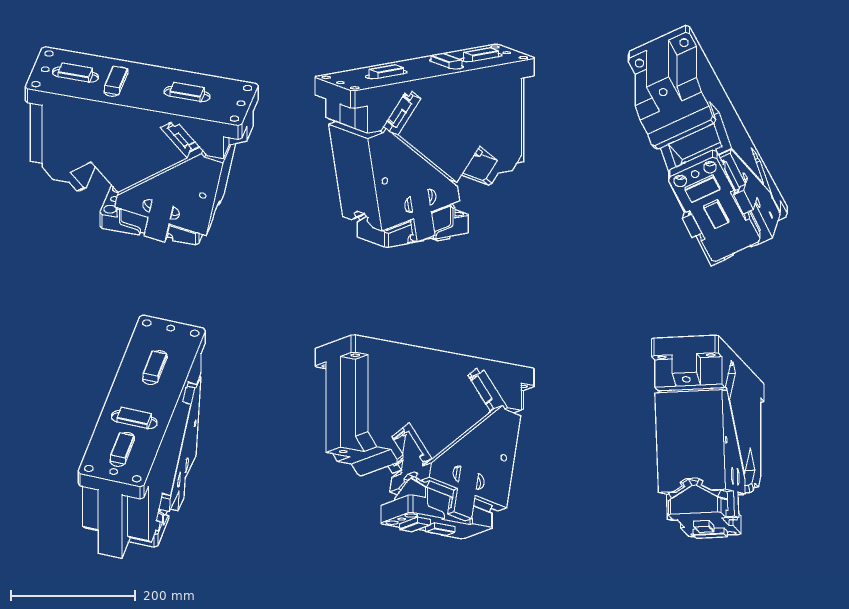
import cadquery as cq
import math


LENGTH = 360.0
WIDTH = 110.0
TOP_Z = 273.5
CORNER_CHAMFER = 5.0
HALF_WIDTH = WIDTH / 2

SLIDE_ANGLE = 40.0
SLIDE_X, SLIDE_Z = 155.0, 85.5
ROOF_ANGLE = -10.0
ROOF_X, ROOF_Z = 149.8, 59.8

KEY_LENGTH = 50.5
KEY_WIDTH = 25.2
KEY_HEIGHT = 9.7
KEY_CHAMFER = 1.0
KEYWAY_DEPTH = 5.0
KEYWAY_LENGTH = KEY_LENGTH + KEY_WIDTH
DRIVER_KEYS = [(70.0, 0), (137.5, 90), (255.2, 0)]
BASE_CROSS_KEY_X = 161.0
BASE_LONG_KEY_X = 210.2
BASE_LONG_KEY_LENGTH = 40.0

PLATE_THICKNESS = 29.0
STEP_LENGTH = 29.5
RIB_WIDTH = 40.0
DRIVER_BOTTOM_Z = 94.0
STEP_RAMP_TOP_Z = 116.5
STEP_RAMP_LENGTH = 17.5
RIGHT_LEG_Z = 199.5
RIGHT_LEG_END_Z = 214.0
BOLT_HOLE_DIAMETER = 13.5
DOWEL_DIAMETER = 12.2
BOLT_INSET = 15.0
BOLT_Y = 40.0
LEFT_DOWEL_X = 19.8
LUG_U0, LUG_U1 = -56.0, -41.0
LUG_END_V = 34.2
LUG_BASE_V = 58.5
NOTCH_TOP_V = 73.8
WALL_U = 4.0
SIDE_GAP = 4.5
POCKET_U = 154.0
POCKET_STEP_U = 176.8
END_WALL_U = 187.2
POCKET_STEP_V = 64.0

STEM_HALF = 30.0
HEAD_HALF = 40.5
HEAD_V = 15.0
RAIL_TOP_V = 60.5
RAIL_CHAMFER = 2.0
STEM_ROOT = 1.0
RAIL_END_U = 181.5
RELIEF_U = 163.5
RELIEF_V = 44.0
RELIEF_DEPTH = 7.2
RETAINER_HALF = 32.8
PAD_SLOPE = 1.5
RETAINER_START_U = -23.5
RETAINER_RAMP_LENGTH = 10.8
PAD_THICKNESS = 4.5

SLIDER_LENGTH = 154.8
SLIDER_HEIGHT = 160.0
LEG_A0, LEG_A1 = 56.5, 91.8
LEG_DROP = 40.5
LEG_INNER_Y = 44.5
HOOK_TOP_B = -30.5
HOOK_INNER_Y = 37.0
LEG_SLOT_LENGTH = 61.2
LEG_SLOT_WIDTH = 26.5
LEG_SLOT_B = 25.0
LEG_SLOT_DEPTH = 10.0
SIDE_HOLE_X, SIDE_HOLE_Z = 296.3, 115.2
SIDE_HOLE_DIAMETER = 10.5
SIDE_HOLE_DEPTH = 14.5

ROOF_SLOPE = 30.0
RIDGE_HALF = 3.2
EAVE_HALF = 43.2
EAVE_B = -13.5
WEAR_A0, WEAR_A1 = 9.5, 134.5
WEAR_OUTER_Y = 37.5
WEAR_THICKNESS = 12.0
END_CLEARANCE = 5.0
END_RELIEF_Y = 13.0

BASE_X0, BASE_X1 = 120.5, 285.5
PRISM_X = 151.0
FOOT_HEIGHT = 29.0
BASE_LEFT_CHAMFER = 5.5
BASE_RIGHT_CHAMFER = 4.5
FOOT_HOLE_X = 134.5
FOOT_HOLE_Y = 26.5
FOOT_BOLT_DIAMETER = 19.8
FOOT_DOWEL_DIAMETER = 12.0
SIDE_RECESS_Y = 36.5
RECESS_X0 = 155.0
RECESS_FLOOR_B = -42.5
RECESS_EXIT_X0, RECESS_EXIT_X1 = 188.0, 243.0
RECESS_SHOULDER_A = 57.0
RECESS_SHOULDER_B = -30.2
RECESS_CORNER = 5.0
RECESS_EXIT_FILLET = 7.2

OVERSHOOT = 36.0


def turned(x0, z0, degrees, point):
    """Point of a frame turned about Y, as an (X, Z) pair."""
    along, across = point
    c = math.cos(math.radians(degrees))
    s = math.sin(math.radians(degrees))
    return (x0 + along * c - across * s, z0 + along * s + across * c)


def slide(u, v):
    return turned(SLIDE_X, SLIDE_Z, SLIDE_ANGLE, (u, v))


def roof(a, b):
    return turned(ROOF_X, ROOF_Z, ROOF_ANGLE, (a, b))


def slab(points, y0, y1):
    """Extrude an (X, Z) outline from y0 to y1."""
    return cq.Workplane("XZ", origin=(0, y0, 0)).polyline(points).close().extrude(y0 - y1)


def centred(points, half_width):
    return slab(points, -half_width, half_width)


def both_sides(solid):
    return solid.union(solid.mirror("XZ"))


def frame_box(frame, low, high, y0, y1):
    """Block with sides along the axes of a turned frame."""
    corners = [(low[0], low[1]), (high[0], low[1]), (high[0], high[1]), (low[0], high[1])]
    return slab([frame(*corner) for corner in corners], y0, y1)


def mirrored_section(half_outline):
    """Close a section symmetric about its vertical axis from its right half."""
    return half_outline + [(-y, h) for y, h in reversed(half_outline)]


def along_roof(section, a0, a1):
    """Sweep a (Y, b) section along the roof from a0 to a1."""
    x, z = roof(a0, 0)
    c = math.cos(math.radians(ROOF_ANGLE))
    s = math.sin(math.radians(ROOF_ANGLE))
    plane = cq.Plane(origin=(x, 0, z), xDir=(0, 1, 0), normal=(c, 0, s))
    return cq.Workplane(plane).polyline(section).close().extrude(a1 - a0)


def along_slide(section, u0, u1):
    """Sweep a (Y, v) section along the slide from u0 to u1."""
    x, z = slide(u0, 0)
    c = math.cos(math.radians(SLIDE_ANGLE))
    s = math.sin(math.radians(SLIDE_ANGLE))
    plane = cq.Plane(origin=(x, 0, z), xDir=(0, 1, 0), normal=(c, 0, s))
    return cq.Workplane(plane).polyline(section).close().extrude(u1 - u0)


def roof_b(y, offset=0.0):
    """Height b of the roof slope at distance y from the middle, raised square to the slope."""
    slope = math.radians(ROOF_SLOPE)
    return EAVE_B + (EAVE_HALF - y) * math.tan(slope) + offset / math.cos(slope)


def off_slope(y, offset):
    """Point reached from the roof slope at y by going square to the slope, outwards and up."""
    slope = math.radians(ROOF_SLOPE)
    return (y + offset * math.sin(slope), roof_b(y) + offset * math.cos(slope))


def key(length):
    """Key with its foot a keyway depth below Z = 0 and its upper long edges chamfered."""
    block = cq.Workplane("XY", origin=(0, 0, -KEYWAY_DEPTH)).rect(length, KEY_WIDTH)
    block = block.extrude(KEYWAY_DEPTH + KEY_HEIGHT)
    return block.faces(">Z").edges("|X").chamfer(KEY_CHAMFER)


def driver_outline():
    return [
        (0, TOP_Z),
        (LENGTH, TOP_Z),
        (LENGTH, RIGHT_LEG_END_Z),
        (LENGTH - STEP_LENGTH, RIGHT_LEG_Z),
        slide(END_WALL_U, (RIGHT_LEG_Z - slide(END_WALL_U, 0)[1]) / math.cos(math.radians(SLIDE_ANGLE))),
        slide(END_WALL_U, POCKET_STEP_V),
        slide(POCKET_STEP_U, POCKET_STEP_V),
        slide(POCKET_STEP_U, NOTCH_TOP_V),
        slide(POCKET_U, NOTCH_TOP_V),
        slide(POCKET_U, SIDE_GAP),
        slide(WALL_U, SIDE_GAP),
        slide(WALL_U, NOTCH_TOP_V),
        slide(LUG_U1, NOTCH_TOP_V),
        slide(LUG_U1, LUG_END_V),
        slide(LUG_U0, LUG_END_V),
        slide(LUG_U0, LUG_BASE_V),
        (0, DRIVER_BOTTOM_Z),
    ]


def driver_side_steps():
    """Steps on both sides of the ribs, below each end of the plate."""
    plate_bottom = TOP_Z - PLATE_THICKNESS
    left = [
        (-OVERSHOOT, plate_bottom),
        (STEP_LENGTH, plate_bottom),
        (STEP_LENGTH, STEP_RAMP_TOP_Z),
        (STEP_LENGTH + STEP_RAMP_LENGTH, DRIVER_BOTTOM_Z),
        (-OVERSHOOT, DRIVER_BOTTOM_Z),
    ]
    right = [
        (LENGTH - STEP_LENGTH, plate_bottom),
        (LENGTH + OVERSHOOT, plate_bottom),
        (LENGTH + OVERSHOOT, RIGHT_LEG_Z),
        (LENGTH - STEP_LENGTH, RIGHT_LEG_Z),
    ]
    steps = slab(left, RIB_WIDTH / 2, HALF_WIDTH).union(slab(right, RIB_WIDTH / 2, HALF_WIDTH))
    return both_sides(steps)


def lug_corner_cuts():
    """Chamfers on the two side corners at the free end of the lug."""
    x, z = slide(LUG_U0, LUG_END_V)
    c = math.cos(math.radians(SLIDE_ANGLE))
    s = math.sin(math.radians(SLIDE_ANGLE))
    plane = cq.Plane(origin=(x, 0, z), xDir=(0, 1, 0), normal=(c, 0, s))
    corner = [
        (HALF_WIDTH - CORNER_CHAMFER, 0),
        (HALF_WIDTH, 0),
        (HALF_WIDTH, CORNER_CHAMFER),
    ]
    return both_sides(cq.Workplane(plane).polyline(corner).close().extrude(LUG_U1 - LUG_U0))


def retainer():
    """Plate over the rail with a slightly narrower pad below it, ramped at its lower end."""
    pad_top_v = RAIL_TOP_V + PAD_THICKNESS
    pad_half = RETAINER_HALF - PAD_SLOPE
    section = mirrored_section([
        (pad_half, RAIL_TOP_V),
        (pad_half, pad_top_v - PAD_SLOPE),
        (RETAINER_HALF, pad_top_v),
        (RETAINER_HALF, NOTCH_TOP_V),
    ])
    ramp = centred([
        slide(RETAINER_START_U, RAIL_TOP_V),
        slide(RETAINER_START_U + RETAINER_RAMP_LENGTH, RAIL_TOP_V),
        slide(RETAINER_START_U, pad_top_v),
    ], HALF_WIDTH)
    return along_slide(section, RETAINER_START_U, POCKET_STEP_U).cut(ramp)


def plate_holes():
    right_x = LENGTH - BOLT_INSET
    bolts = [(x, y) for x in (BOLT_INSET, right_x) for y in (-BOLT_Y, BOLT_Y)]
    dowels = [(LEFT_DOWEL_X, 0), (right_x, 0)]
    top = cq.Workplane("XY", origin=(0, 0, TOP_Z))
    bolt_holes = top.pushPoints(bolts).circle(BOLT_HOLE_DIAMETER / 2).extrude(-TOP_Z)
    return bolt_holes.union(top.pushPoints(dowels).circle(DOWEL_DIAMETER / 2).extrude(-TOP_Z))


def rail_channel():
    section = mirrored_section([
        (STEM_HALF, 0),
        (STEM_HALF, HEAD_V),
        (HEAD_HALF, HEAD_V),
        (HEAD_HALF, RAIL_TOP_V),
    ])
    return along_slide(section, WALL_U, POCKET_U)


def add_driver_key(body, x, turn):
    """Key standing in a round-ended keyway in the top face."""
    keyway = cq.Workplane("XY").slot2D(KEYWAY_LENGTH, KEY_WIDTH).extrude(-KEYWAY_DEPTH)
    place = cq.Location(cq.Vector(x, 0, TOP_Z), cq.Vector(0, 0, 1), turn)
    body = body.cut(cq.Workplane(keyway.val().moved(place)))
    return body.union(cq.Workplane(key(KEY_LENGTH).val().moved(place)))


def make_driver():
    body = centred(driver_outline(), HALF_WIDTH)
    blank = cq.Workplane("XY").rect(LENGTH, WIDTH).extrude(TOP_Z).edges("|Z").chamfer(CORNER_CHAMFER)
    body = body.intersect(blank.translate((LENGTH / 2, 0, 0)))
    body = body.cut(driver_side_steps()).cut(lug_corner_cuts()).cut(plate_holes())
    body = body.cut(rail_channel()).union(retainer())
    for x, turn in DRIVER_KEYS:
        body = add_driver_key(body, x, turn)
    return body


def slider_blank():
    """Block in the base frame with a shoulder under the rail, cut back to the slide plane."""
    far = 2 * LENGTH
    block = frame_box(roof, (0, 0), (SLIDER_LENGTH, SLIDER_HEIGHT), -HALF_WIDTH, HALF_WIDTH)
    shoulder = frame_box(
        slide, (RAIL_END_U - OVERSHOOT, -OVERSHOOT), (RAIL_END_U, 0), -HALF_WIDTH, HALF_WIDTH
    )
    below_slide = frame_box(slide, (-far, -far), (far, 0), -HALF_WIDTH, HALF_WIDTH)
    return block.union(shoulder).intersect(below_slide)


def t_rail():
    """Rail on the slide plane, ending flush with the lower end face of the slider."""
    section = mirrored_section([
        (STEM_HALF + STEM_ROOT, 0),
        (STEM_HALF, STEM_ROOT),
        (STEM_HALF, HEAD_V),
        (HEAD_HALF - RAIL_CHAMFER, HEAD_V),
        (HEAD_HALF, HEAD_V + RAIL_CHAMFER),
        (HEAD_HALF, RAIL_TOP_V),
    ])
    rail = along_slide(section, -OVERSHOOT, RAIL_END_U)
    beyond_end = frame_box(roof, (-LENGTH, -LENGTH), (0, LENGTH), -HALF_WIDTH, HALF_WIDTH)
    relief = frame_box(slide, (0, HEAD_V), (RELIEF_U, RELIEF_V), HEAD_HALF - RELIEF_DEPTH, HEAD_HALF)
    return rail.cut(beyond_end).cut(both_sides(relief))


def wear_pads():
    """Two pads under the slider that rest on the roof slopes of the base."""
    pad = [
        (RIDGE_HALF, roof_b(RIDGE_HALF)),
        (WEAR_OUTER_Y, roof_b(WEAR_OUTER_Y)),
        off_slope(WEAR_OUTER_Y, WEAR_THICKNESS),
        off_slope(RIDGE_HALF, WEAR_THICKNESS),
    ]
    return both_sides(along_roof(pad, WEAR_A0, WEAR_A1))


def v_groove():
    """Groove that clears the roof, deepened in the middle to the thickness of the pads."""
    low_b = roof_b(EAVE_HALF, END_CLEARANCE)
    section = mirrored_section([
        (EAVE_HALF, low_b),
        off_slope(END_RELIEF_Y, END_CLEARANCE),
        off_slope(END_RELIEF_Y, WEAR_THICKNESS),
        off_slope(RIDGE_HALF, WEAR_THICKNESS),
    ])
    return along_roof(section, -OVERSHOOT, SLIDER_LENGTH + OVERSHOOT)


def leg():
    """Hooked leg on the -Y side."""
    slot_top = LEG_SLOT_B + LEG_SLOT_WIDTH / 2
    wall = frame_box(roof, (LEG_A0, -LEG_DROP), (LEG_A1, slot_top), -HALF_WIDTH, -LEG_INNER_Y)
    hook = frame_box(roof, (LEG_A0, -LEG_DROP), (LEG_A1, HOOK_TOP_B), -HALF_WIDTH, -HOOK_INNER_Y)
    return wall.union(hook)


def leg_slot():
    """Round-ended slot behind the leg in the -Y side; the leg fills its middle."""
    x, z = roof((LEG_A0 + LEG_A1) / 2, LEG_SLOT_B)
    slot = cq.Workplane("XZ").slot2D(LEG_SLOT_LENGTH, LEG_SLOT_WIDTH, ROOF_ANGLE)
    return slot.extrude(LEG_SLOT_DEPTH).translate((x, LEG_SLOT_DEPTH - HALF_WIDTH, z))


def side_hole():
    """Blind hole in the -Y side with a drill point."""
    radius = SIDE_HOLE_DIAMETER / 2
    half_profile = [(0, 0), (radius, 0), (radius, SIDE_HOLE_DEPTH), (0, SIDE_HOLE_DEPTH + radius)]
    hole = cq.Workplane("XY").polyline(half_profile).close().revolve(360, (0, 0), (0, 1))
    return hole.translate((SIDE_HOLE_X, -HALF_WIDTH, SIDE_HOLE_Z))


def make_slider():
    body = slider_blank().union(t_rail())
    body = body.cut(v_groove()).union(wear_pads())
    body = body.cut(both_sides(leg_slot())).union(both_sides(leg()))
    return body.cut(both_sides(side_hole()))


def roof_section():
    return mirrored_section([
        (EAVE_HALF, -LENGTH),
        (EAVE_HALF, EAVE_B),
        (RIDGE_HALF, roof_b(RIDGE_HALF)),
    ])


def base_blank():
    """Foot with chamfered corners carrying a roof-shaped prism."""
    outline = [
        (BASE_X0, 0),
        (BASE_X1, 0),
        (BASE_X1, TOP_Z),
        (PRISM_X, TOP_Z),
        (PRISM_X, FOOT_HEIGHT),
        (BASE_X0, FOOT_HEIGHT),
    ]
    block = centred(outline, EAVE_HALF)
    block = block.edges("|Z and <X").chamfer(BASE_LEFT_CHAMFER)
    block = block.edges("|Z and >X").chamfer(BASE_RIGHT_CHAMFER)
    return block.intersect(along_roof(roof_section(), -LENGTH, LENGTH))


def side_recess():
    """Recess in the +Y side for the leg: open above on the left, under a shoulder on the right."""
    left_top = (RECESS_X0, TOP_Z)
    slope = math.tan(math.radians(ROOF_ANGLE))
    floor_x, floor_z = roof(0, RECESS_FLOOR_B)

    def floor_at(x):
        return (x, floor_z + (x - floor_x) * slope)

    shoulder_x, shoulder_z = roof(0, RECESS_SHOULDER_B)
    shoulder_end = (RECESS_EXIT_X1, shoulder_z + (RECESS_EXIT_X1 - shoulder_x) * slope)
    outline = [
        left_top,
        floor_at(RECESS_X0),
        floor_at(RECESS_EXIT_X0),
        (RECESS_EXIT_X0, -OVERSHOOT),
        (RECESS_EXIT_X1, -OVERSHOOT),
        shoulder_end,
        roof(RECESS_SHOULDER_A, RECESS_SHOULDER_B),
        roof(RECESS_SHOULDER_A, TOP_Z),
    ]
    recess = slab(outline, SIDE_RECESS_Y, HALF_WIDTH)
    for corner, radius in [
        (floor_at(RECESS_X0), RECESS_CORNER),
        (floor_at(RECESS_EXIT_X0), RECESS_EXIT_FILLET),
        (shoulder_end, RECESS_EXIT_FILLET),
    ]:
        near = cq.selectors.NearestToPointSelector((corner[0], SIDE_RECESS_Y, corner[1]))
        recess = recess.edges("|Y").edges(near).fillet(radius)
    return recess


def foot_holes():
    foot = cq.Workplane("XY")
    bolts = [(FOOT_HOLE_X, y) for y in (-FOOT_HOLE_Y, FOOT_HOLE_Y)]
    bolt_holes = foot.pushPoints(bolts).circle(FOOT_BOLT_DIAMETER / 2).extrude(FOOT_HEIGHT)
    return bolt_holes.union(foot.center(FOOT_HOLE_X, 0).circle(FOOT_DOWEL_DIAMETER / 2).extrude(FOOT_HEIGHT))


def make_base():
    body = base_blank().cut(both_sides(side_recess())).cut(foot_holes())
    cross_key = key(KEY_LENGTH).rotate((0, 0, 0), (1, 0, 0), 180).rotate((0, 0, 0), (0, 0, 1), 90)
    long_key = key(BASE_LONG_KEY_LENGTH).rotate((0, 0, 0), (1, 0, 0), 180)
    body = body.union(cross_key.translate((BASE_CROSS_KEY_X, 0, 0)))
    return body.union(long_key.translate((BASE_LONG_KEY_X, 0, 0)))


driver = make_driver()
slider = make_slider()
base = make_base()

result = cq.Compound.makeCompound([driver.val(), slider.val(), base.val()])